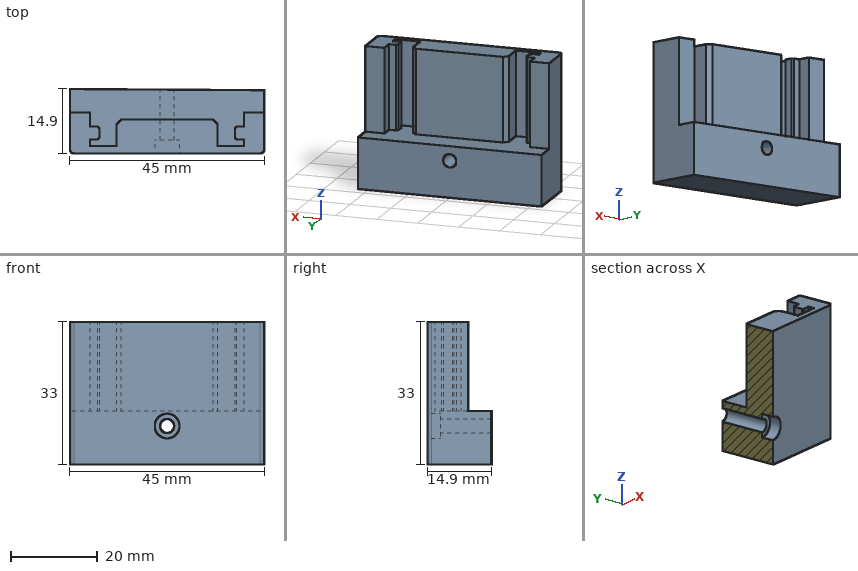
import cadquery as cq

width = 45.0
height = 33.0
depth = 14.95
right_end_depth = 14.65

rail_depth = 9.5
rail_width = 4.72
floor_thickness = 1.8
corner_radius = 1.0

tooth_length = 2.1
tooth_front = 3.3
tooth_back = 6.2
tooth_chamfer = 0.4

rib_width = 23.4
rib_depth = 7.85
rib_chamfer = 1.1

base_height = 12.4

hole_height = 8.9
hole_diameter = 3.2
counterbore_diameter = 5.7
counterbore_depth = 3.1


def front_plate():
    """Full-height block, rounded along its two front vertical edges."""
    plate = cq.Workplane("XY").box(width, rail_depth, height, centered=(True, False, False))
    return plate.edges("|Z and <Y").fillet(corner_radius)


def upper_recess():
    """Space between the rails above the base block, around the rib and teeth."""
    recess_height = height - base_height
    upper_plane = cq.Workplane("XY").workplane(offset=base_height)
    inner_width = width - 2 * rail_width
    centered = (True, False, False)

    recess = upper_plane.center(0, floor_thickness).box(
        inner_width, rail_depth - floor_thickness, recess_height, centered=centered
    )
    rib = upper_plane.box(rib_width, rib_depth, recess_height, centered=centered)
    rib = rib.edges("|Z and >Y").chamfer(rib_chamfer)
    recess = recess.cut(rib)

    tooth_center = (tooth_front + tooth_back) / 2
    for side in (-1, 1):
        tooth = upper_plane.center(side * (inner_width - tooth_length) / 2, tooth_center).box(
            tooth_length, tooth_back - tooth_front, recess_height, centered=(True, True, False)
        )
        tip_edges = "|Z and >X" if side < 0 else "|Z and <X"
        recess = recess.cut(tooth.edges(tip_edges).chamfer(tooth_chamfer))
    return recess


def base_block():
    """Block behind the plate, with a slightly slanted back face."""
    return (
        cq.Workplane("XY")
        .polyline(
            [
                (-width / 2, rail_depth),
                (width / 2, rail_depth),
                (width / 2, right_end_depth),
                (-width / 2, depth),
            ]
        )
        .close()
        .extrude(base_height)
    )


def screw_hole():
    """Through hole along Y, counterbored from the front face."""
    front_face = cq.Workplane("XZ").center(0, hole_height)
    hole = front_face.circle(hole_diameter / 2).extrude(-depth)
    counterbore = front_face.circle(counterbore_diameter / 2).extrude(-counterbore_depth)
    return hole.union(counterbore)


result = front_plate().cut(upper_recess()).union(base_block()).cut(screw_hole())